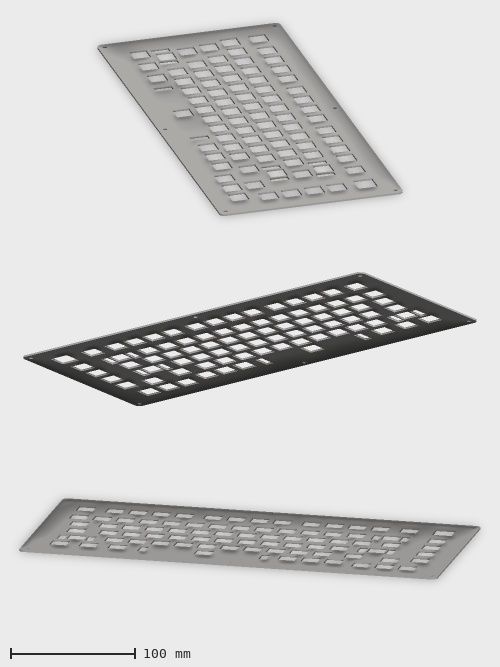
import cadquery as cq

plate_length = 345.0
plate_width = 153.5
plate_thickness = 1.5
plate_corner_radius = 4.0

screw_diameter = 3.4
screw_inset = 5.5
screw_x = plate_length / 2 - screw_inset
screw_y = plate_width / 2 - screw_inset

column_span = 295.2
column_span_pitches = 15.5
key_pitch = column_span / column_span_pitches
first_column_x = -column_span / 2
first_row_inset = 25.0
first_row_y = plate_width / 2 - first_row_inset

key_size = 14.0
encoder_size = 16.2
cutout_corner_radius = 0.52
stabilizer_width = 6.5
stabilizer_height = 15.2
stabilizer_drop = 1.5
stabilizer_reach = 11.7
space_stabilizer_reach = 50.0

function_row = 0
number_row = 1.25
upper_row = number_row + 1
home_row = number_row + 2
lower_row = number_row + 3
bottom_row = number_row + 4
arrow_offset = 0.25
last_column = column_span_pitches

backspace_column = 13.5
enter_column = 13.375
shift_column = 0.625
space_column = 6.375

key_runs = [
    (function_row, 0, 1),
    (function_row, 1.25, 4),
    (function_row, 5.5, 4),
    (function_row, 9.75, 4),
    (function_row, 14, 1),
    (number_row, 0, 13),
    (number_row, backspace_column, 1),
    (number_row, last_column, 1),
    (upper_row, 0.25, 1),
    (upper_row, 1.5, 12),
    (upper_row, 13.75, 1),
    (upper_row, last_column, 1),
    (home_row, 0.375, 1),
    (home_row, 1.75, 11),
    (home_row, enter_column, 1),
    (home_row, last_column, 1),
    (lower_row, shift_column, 1),
    (lower_row, 2.25, 10),
    (lower_row, 12.625, 1),
    (lower_row, last_column, 1),
    (lower_row + arrow_offset, 14.25, 1),
    (bottom_row, 0.125, 1),
    (bottom_row, 1.375, 1),
    (bottom_row, 2.625, 1),
    (bottom_row, space_column, 1),
    (bottom_row, 10, 3),
    (bottom_row + arrow_offset, 13.25, 3),
]

stabilized_keys = [
    (number_row, backspace_column, stabilizer_reach),
    (home_row, enter_column, stabilizer_reach),
    (lower_row, shift_column, stabilizer_reach),
    (bottom_row, space_column, space_stabilizer_reach),
]


def grid_point(row, column):
    """Plate position of a key centre; rows count downwards."""
    return (first_column_x + column * key_pitch, first_row_y - row * key_pitch)


def cutouts(centres, width, height):
    """Through cutters with rounded corners at the given centres."""
    return (
        cq.Workplane("XY")
        .pushPoints(centres)
        .rect(width, height)
        .extrude(plate_thickness)
        .edges("|Z")
        .fillet(cutout_corner_radius)
    )


def key_centres():
    return [
        grid_point(row, first_column + index)
        for row, first_column, count in key_runs
        for index in range(count)
    ]


def stabilizer_centres():
    centres = []
    for row, column, reach in stabilized_keys:
        key_x, key_y = grid_point(row, column)
        for side in (-1, 1):
            centres.append((key_x + side * reach, key_y - stabilizer_drop))
    return centres


def base_plate():
    screw_points = [
        (x, y)
        for x in (-screw_x, 0, screw_x)
        for y in (-screw_y, screw_y)
    ]
    return (
        cq.Workplane("XY")
        .box(plate_length, plate_width, plate_thickness, centered=(True, True, False))
        .edges("|Z")
        .fillet(plate_corner_radius)
        .faces(">Z")
        .workplane(origin=(0, 0, 0))
        .pushPoints(screw_points)
        .hole(screw_diameter)
    )


encoder_centre = grid_point(function_row, last_column)

result = (
    base_plate()
    .cut(cutouts(key_centres(), key_size, key_size))
    .cut(cutouts([encoder_centre], encoder_size, encoder_size))
    .cut(cutouts(stabilizer_centres(), stabilizer_width, stabilizer_height))
)